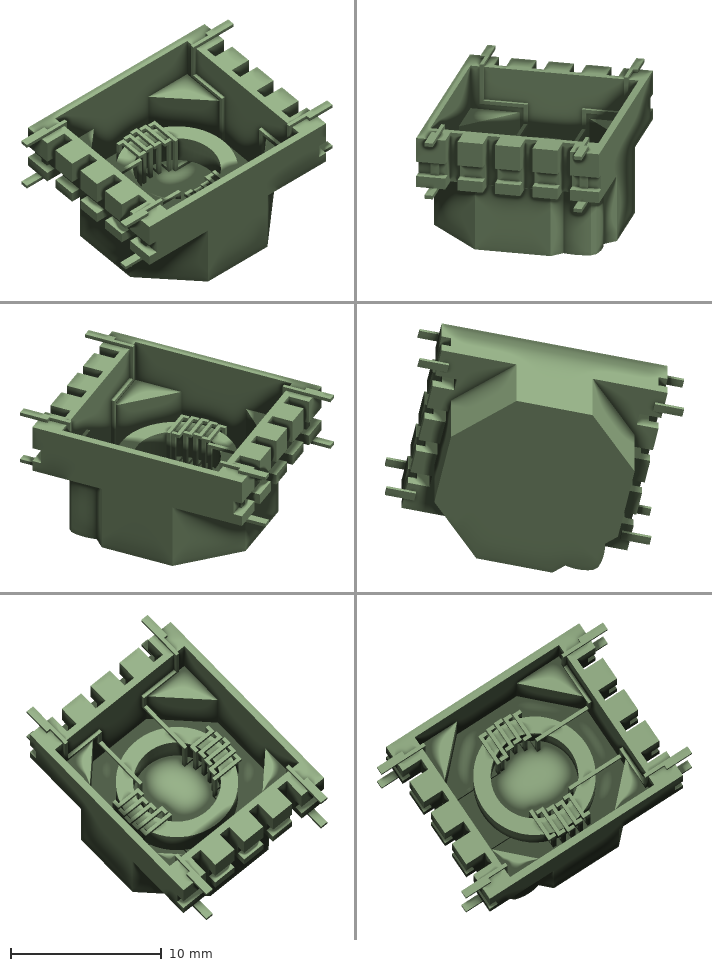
import cadquery as cq
import math

BODY_WIDTH = 12.5
TRAY_LENGTH = 15.37
TRAY_BOTTOM = 4.7
TRAY_TOP = 8.19
WALL = 0.5
FLOOR_TOP = 1.7
LEDGE_TOP = 5.15
TOOTH_GAP = 0.85
TOOTH_GAP_PITCH = 2.55
TOOTH_GAP_COUNT = 4
TOOTH_GAP_FLOOR_Y = 6.21
GROOVE_BOTTOM = 5.47
GROOVE_TOP = 6.5
GROOVE_FLOOR_Y = 7.05

HALF_WIDTH = BODY_WIDTH / 2
HALF_TRAY = TRAY_LENGTH / 2
HALF_CAVITY = HALF_WIDTH - WALL

LOBE_START_Y = 3.31
LOBE_BULGE = (-5.63, 4.14)
LOBE_TIP = (-5.47, 5.18)

OVERALL_LENGTH = 18.0
TERMINAL_INNER_X = 4.8
TERMINAL_WIDTH = 0.55
TERMINAL_THICKNESS = 0.25
TERMINAL_INNER_Y = 7.0
UPRIGHT_OUTER_Y = 7.25

WIRE = 0.25
WALL_RUN_TOP = 5.87

CORE_OUTER_RADIUS = 4.07
CORE_INNER_RADIUS = 2.92
CORE_HEIGHT = 2.0
COIL_TOP = 4.46
CORE_TOP = COIL_TOP - WIRE
CORE_BOTTOM = CORE_TOP - CORE_HEIGHT

FIRST_TURN_Y = 1.67
TURN_COUNT = 5
TURN_PITCH = 0.68
TURN_ADVANCE = 0.6

LEFT_INNER_REACH = [1.87, 2.12, 2.35, 2.43, 2.3, 1.93]
RIGHT_INNER_REACH = [1.93, 1.98, 2.35, 2.47, 2.29, 1.8]
LEFT_OUTER_REACH = [4.27, 4.37, 4.5, 4.37, 4.27]
RIGHT_OUTER_REACH = [4.27, 4.37, 4.45, 4.37, 4.27]


def block(x_range, y_range, z_range):
    """Box between two limits on each axis, given in either order."""
    x0, x1 = sorted(x_range)
    y0, y1 = sorted(y_range)
    z0, z1 = sorted(z_range)
    return cq.Workplane(cq.Solid.makeBox(x1 - x0, y1 - y0, z1 - z0, cq.Vector(x0, y0, z0)))


def octagon(half_size, bottom, top):
    """Regular octagonal prism with flats facing the X and Y axes."""
    h = half_size
    k = half_size * math.tan(math.pi / 8)
    points = [(h, -k), (h, k), (k, h), (-k, h), (-h, k), (-h, -k), (-k, -h), (k, -h)]
    return cq.Workplane("XY", origin=(0, 0, bottom)).polyline(points).close().extrude(top - bottom)


def mirrored_on_diagonal(point):
    """Mirror a point in the line y = -x."""
    return (-point[1], -point[0])


def corner_lobe():
    start = (LOBE_START_Y - HALF_WIDTH * math.sqrt(2), LOBE_START_Y)
    return (
        cq.Workplane("XY")
        .moveTo(*start)
        .threePointArc(LOBE_BULGE, LOBE_TIP)
        .lineTo(*mirrored_on_diagonal(LOBE_TIP))
        .threePointArc(mirrored_on_diagonal(LOBE_BULGE), mirrored_on_diagonal(start))
        .close()
        .extrude(TRAY_BOTTOM)
    )


def make_housing():
    tray = block((-HALF_WIDTH, HALF_WIDTH), (-HALF_TRAY, HALF_TRAY), (TRAY_BOTTOM, TRAY_TOP))
    body = octagon(HALF_WIDTH, 0, TRAY_BOTTOM).union(corner_lobe()).union(tray)
    cavity_span = (-HALF_CAVITY, HALF_CAVITY)
    body = body.cut(block(cavity_span, cavity_span, (LEDGE_TOP, TRAY_TOP)))
    body = body.cut(octagon(HALF_CAVITY, FLOOR_TOP, TRAY_TOP))
    for end in (-1, 1):
        gap_y = (end * TOOTH_GAP_FLOOR_Y, end * HALF_TRAY)
        for i in range(TOOTH_GAP_COUNT):
            x = (i - (TOOTH_GAP_COUNT - 1) / 2) * TOOTH_GAP_PITCH
            gap_x = (x - TOOTH_GAP / 2, x + TOOTH_GAP / 2)
            body = body.cut(block(gap_x, gap_y, (TRAY_BOTTOM, TRAY_TOP)))
        groove_y = (end * GROOVE_FLOOR_Y, end * HALF_TRAY)
        body = body.cut(block((-HALF_WIDTH, HALF_WIDTH), groove_y, (GROOVE_BOTTOM, GROOVE_TOP)))
    return body


def terminal(side, end):
    """C-shaped terminal: an upright through the tray end with a pin above and a pin below."""
    x = (side * TERMINAL_INNER_X, side * (TERMINAL_INNER_X + TERMINAL_WIDTH))
    bottom = TRAY_BOTTOM - TERMINAL_THICKNESS
    top = TRAY_TOP + TERMINAL_THICKNESS
    pin_y = (end * TERMINAL_INNER_Y, end * OVERALL_LENGTH / 2)
    upright_y = (end * TERMINAL_INNER_Y, end * UPRIGHT_OUTER_Y)
    return (
        block(x, upright_y, (bottom, top))
        .union(block(x, pin_y, (bottom, TRAY_BOTTOM)))
        .union(block(x, pin_y, (TRAY_TOP, top)))
    )


def wall_wire(side, end, inner_reach, drop_to):
    """Wire from a terminal over the end wall, down it, along it and down again to height drop_to."""
    top = TRAY_TOP + TERMINAL_THICKNESS
    wire_face_y = HALF_CAVITY - WIRE
    near_wall = (end * wire_face_y, end * HALF_CAVITY)
    entry_x = (side * TERMINAL_INNER_X, side * (TERMINAL_INNER_X + WIRE))
    run_x = (side * inner_reach, side * (TERMINAL_INNER_X + WIRE))
    drop_x = (side * inner_reach, side * (inner_reach + WIRE))
    run_bottom = WALL_RUN_TOP - WIRE
    over_wall_y = (end * wire_face_y, end * TERMINAL_INNER_Y)
    return (
        block(entry_x, over_wall_y, (TRAY_TOP, top))
        .union(block(entry_x, near_wall, (run_bottom, top)))
        .union(block(run_x, near_wall, (run_bottom, WALL_RUN_TOP)))
        .union(block(drop_x, near_wall, (drop_to, WALL_RUN_TOP)))
    )


def coil(side, inner_reach, outer_reach):
    """Square-bent turns round one side of the core, joined to the wires on both end walls."""
    full_height = (FLOOR_TOP, COIL_TOP)
    upper = (CORE_TOP, COIL_TOP)
    lower = (FLOOR_TOP, FLOOR_TOP + WIRE)
    lead_end = HALF_CAVITY - WIRE

    lead_x = (side * inner_reach[0], side * (inner_reach[0] + WIRE))
    wire = block(lead_x, (FIRST_TURN_Y - WIRE, lead_end), lower)
    wire = wire.union(block(lead_x, (FIRST_TURN_Y - WIRE, FIRST_TURN_Y), full_height))

    for i in range(TURN_COUNT):
        y = FIRST_TURN_Y - i * TURN_PITCH
        inner = inner_reach[i]
        outer = outer_reach[i]
        next_inner = inner_reach[i + 1]
        far_y = y - TURN_ADVANCE
        crossing_y = (far_y, far_y + WIRE)
        outer_x = (side * (outer - WIRE), side * outer)
        rise_x = (side * next_inner, side * (next_inner + WIRE))
        if i < TURN_COUNT - 1:
            arm_end = y - TURN_PITCH - WIRE
        else:
            arm_end = -lead_end
        wire = (
            wire.union(block((side * inner, side * outer), (y - WIRE, y), upper))
            .union(block(outer_x, (far_y, y), upper))
            .union(block(outer_x, crossing_y, full_height))
            .union(block((side * next_inner, side * outer), crossing_y, lower))
            .union(block(rise_x, crossing_y, full_height))
            .union(block(rise_x, (arm_end, far_y + WIRE), upper))
        )

    wire = wire.union(wall_wire(side, 1, inner_reach[0], FLOOR_TOP))
    return wire.union(wall_wire(side, -1, inner_reach[-1], CORE_TOP))


def make_winding():
    core = (
        cq.Workplane("XY", origin=(0, 0, CORE_BOTTOM))
        .circle(CORE_OUTER_RADIUS)
        .circle(CORE_INNER_RADIUS)
        .extrude(CORE_HEIGHT)
    )
    assembly = core.union(coil(-1, LEFT_INNER_REACH, LEFT_OUTER_REACH))
    assembly = assembly.union(coil(1, RIGHT_INNER_REACH, RIGHT_OUTER_REACH))
    for side in (-1, 1):
        for end in (-1, 1):
            assembly = assembly.union(terminal(side, end))
    return assembly


winding = make_winding()
housing = make_housing().cut(winding)

result = cq.Compound.makeCompound([housing.val(), winding.val()])